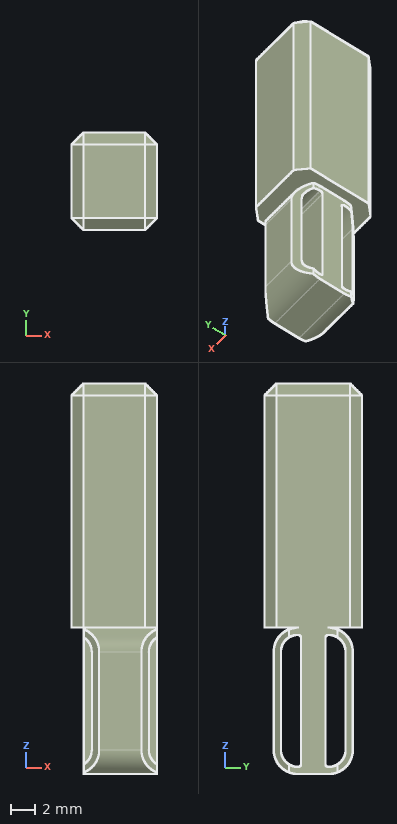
import cadquery as cq

grip_width = 7.0
grip_depth = 8.0
grip_height = 20.0
grip_chamfer = 1.0

total_height = 32.0
plug_height = total_height - grip_height
plug_width = grip_width - grip_chamfer
plug_depth = 6.5
plug_end_radius = 2.0
plug_corner_chamfer = 1.28

wall = 0.6
post_depth = 2.0
slot_inner_radius = 0.22
slot_outer_radius = plug_end_radius - wall
slot_depth = (plug_depth - post_depth) / 2 - wall
slot_height = plug_height - 2 * wall
slot_offset = (post_depth + slot_depth) / 2

plug_center_x = (grip_width - plug_width) / 2
plug_center_z = -plug_height / 2


def make_grip():
    block = cq.Workplane("XY").box(
        grip_width, grip_depth, grip_height, centered=(True, True, False)
    )
    return block.edges("not <Z").chamfer(grip_chamfer)


def make_plug():
    """Intersect a round-ended YZ profile with a corner-cut XY profile."""
    center = (plug_center_x, 0, plug_center_z)
    blank = cq.Workplane("XY").box(plug_width, plug_depth, plug_height).translate(center)
    rounded = blank.edges("|X").fillet(plug_end_radius)
    bevelled = blank.edges("|Z").chamfer(plug_corner_chamfer)
    return rounded.intersect(bevelled)


def make_slot(side):
    """Slot cutter along X; side is -1 or 1, toward -Y or +Y."""
    outer, inner = (">Y", "<Y") if side > 0 else ("<Y", ">Y")
    slot = cq.Workplane("XY").box(plug_width, slot_depth, slot_height)
    slot = slot.faces(outer).edges("|X").fillet(slot_outer_radius)
    slot = slot.faces(inner).edges("|X").fillet(slot_inner_radius)
    return slot.translate((plug_center_x, side * slot_offset, plug_center_z))


plug = make_plug()
for side in (-1, 1):
    plug = plug.cut(make_slot(side))

result = make_grip().union(plug)